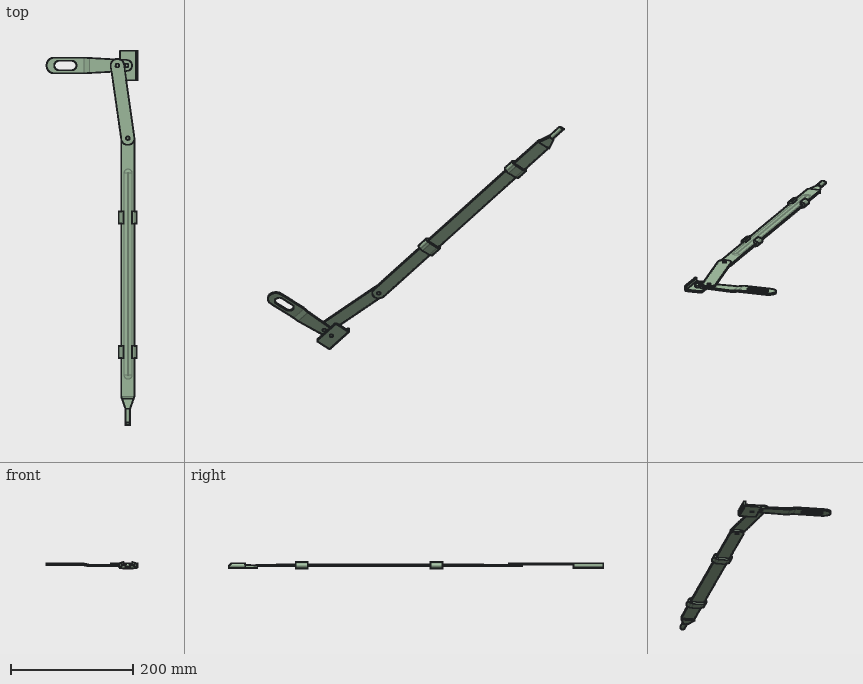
import cadquery as cq
import math


overall_length = 612.33

plate_thickness = 3.0
plate_bottom = -1.9
plate_top = plate_bottom + plate_thickness
link_thickness = 2.5
link_top = plate_top + link_thickness
cut_reach = 11.0

pin_diameter = 5.9
pin_hole_diameter = 6.0

strip_width = 22.0
link_length = 120.0
link_offset_x = -17.0
joint_y = math.sqrt(link_length**2 - link_offset_x**2)

lever_pivot_x = -2.0
lever_left = -133.0
lever_wide_radius = 13.0
lever_pivot_radius = 9.0
lever_bend_start = -72.0
lever_bend_end = -63.0
lever_step = 2.0
lever_slot_center_x = -102.0
lever_slot_length = 36.0
lever_slot_width = 15.0

mount_left = -13.0
mount_right = 16.0
mount_length = 49.0
mount_bottom = -5.0
mount_lip_thickness = 3.0
mount_lip_top = 3.7
mount_corner_radius = 2.5
mount_edge_chamfer = 2.0

rail_end = -422.0
bead_start = -56.6
bead_end = -387.0
bead_width = 13.0
bead_crest_width = 1.6
bead_height = 0.5
neck_length = 20.0
neck_valley_distance = 4.0
neck_valley_depth = 1.1
rod_radius = 4.0
rod_center_z = (plate_bottom + plate_top) / 2
rod_end = joint_y + mount_length / 2 - overall_length
rod_end_bevel = 5.0

clip_centers_y = (-129.5, -349.5)
clip_length = 20.0
clip_width = 30.0
clip_height = 11.0
clip_opening = bead_width
clip_mouth_width = clip_opening + 1.2
clip_shoulder_width = 23.0
clip_shoulder_height = 8.4


def box_between(x_range, y_range, z_range):
    """Box given by its start and end along each axis."""
    size = [end - start for start, end in (x_range, y_range, z_range)]
    return cq.Workplane("XY").box(*size, centered=False).translate((x_range[0], y_range[0], z_range[0]))


def cylinder_at(x, y, diameter, bottom, top):
    """Upright cylinder."""
    return cq.Workplane("XY", origin=(x, y, bottom)).circle(diameter / 2).extrude(top - bottom)


def pin_hole(x, y):
    """Cutter for a pin hole through every layer."""
    return cylinder_at(x, y, pin_hole_diameter, -cut_reach, cut_reach)


def make_mount():
    """Base plate with an upright lip along its +X side."""
    y_range = (joint_y - mount_length / 2, joint_y + mount_length / 2)
    base = box_between((mount_left, mount_right), y_range, (mount_bottom, plate_bottom))
    base = base.edges("|Z and <X").fillet(mount_corner_radius)
    base = base.edges("|Y and >X and <Z").chamfer(mount_edge_chamfer)
    lip_left = mount_right - mount_lip_thickness
    lip = box_between((lip_left, mount_right), y_range, (plate_bottom, mount_lip_top))
    return base.union(lip).cut(pin_hole(lever_pivot_x, joint_y))


def make_lever():
    """Cranked lever: a raised, slotted end and a tapered arm with a round pivot end."""
    distance = lever_pivot_x - lever_bend_start
    edge_angle = math.atan2(lever_wide_radius, distance) - math.asin(
        lever_pivot_radius / math.hypot(lever_wide_radius, distance)
    )
    tangent_x = lever_pivot_x + lever_pivot_radius * math.sin(edge_angle)
    tangent_y = lever_pivot_radius * math.cos(edge_angle)
    outline = (
        cq.Workplane("XY", origin=(0, joint_y, -cut_reach))
        .moveTo(lever_left + lever_wide_radius, lever_wide_radius)
        .lineTo(lever_bend_start, lever_wide_radius)
        .lineTo(tangent_x, tangent_y)
        .threePointArc((lever_pivot_x + lever_pivot_radius, 0), (tangent_x, -tangent_y))
        .lineTo(lever_bend_start, -lever_wide_radius)
        .lineTo(lever_left + lever_wide_radius, -lever_wide_radius)
        .threePointArc((lever_left, 0), (lever_left + lever_wide_radius, lever_wide_radius))
        .close()
        .extrude(2 * cut_reach)
    )
    lever_right = lever_pivot_x + lever_pivot_radius
    cranked_strip = (
        cq.Workplane("XZ", origin=(0, joint_y, 0))
        .moveTo(lever_left, plate_bottom + lever_step)
        .lineTo(lever_bend_start, plate_bottom + lever_step)
        .lineTo(lever_bend_end, plate_bottom)
        .lineTo(lever_right, plate_bottom)
        .lineTo(lever_right, plate_top)
        .lineTo(lever_bend_end, plate_top)
        .lineTo(lever_bend_start, plate_top + lever_step)
        .lineTo(lever_left, plate_top + lever_step)
        .close()
        .extrude(lever_wide_radius, both=True)
    )
    slot = (
        cq.Workplane("XY", origin=(lever_slot_center_x, joint_y, -cut_reach))
        .slot2D(lever_slot_length, lever_slot_width)
        .extrude(2 * cut_reach)
    )
    lever = cranked_strip.intersect(outline).cut(slot)
    return lever.cut(pin_hole(lever_pivot_x, joint_y)).cut(pin_hole(link_offset_x, joint_y))


def make_link():
    """Straight strip with round ends, joining lever and rail."""
    angle = math.degrees(math.atan2(joint_y, link_offset_x))
    strip = (
        cq.Workplane("XY", origin=(link_offset_x / 2, joint_y / 2, plate_top))
        .slot2D(link_length + strip_width, strip_width, angle)
        .extrude(link_thickness)
    )
    return strip.cut(pin_hole(0, 0)).cut(pin_hole(link_offset_x, joint_y))


def make_bead():
    """Low ridge on the rail: sloped flanks, a narrow crest and half-cone ends."""
    half_width = bead_width / 2
    half_crest = bead_crest_width / 2
    ridge = (
        cq.Workplane("XZ", origin=(0, bead_start, plate_top))
        .polyline([(-half_width, 0), (-half_crest, bead_height), (half_crest, bead_height), (half_width, 0)])
        .close()
        .extrude(bead_start - bead_end)
    )
    for end_y in (bead_start, bead_end):
        cone = cq.Solid.makeCone(half_width, half_crest, bead_height, pnt=cq.Vector(0, end_y, plate_top))
        ridge = ridge.union(cq.Workplane(cone))
    return ridge


def make_neck():
    """Tapered block between the flat rail and the rod, with a shallow valley across its top."""
    half_width = strip_width / 2
    bottom = rod_center_z - rod_radius
    neck_end = rail_end - neck_length
    taper = (
        cq.Workplane("XY", origin=(0, 0, bottom))
        .polyline(
            [
                (-half_width, rail_end),
                (half_width, rail_end),
                (rod_radius, neck_end),
                (-rod_radius, neck_end),
            ]
        )
        .close()
        .extrude(plate_top - bottom)
    )
    valley = (
        cq.Workplane("YZ")
        .polyline(
            [
                (rail_end, plate_top),
                (rail_end - neck_valley_distance, plate_top - neck_valley_depth),
                (neck_end, plate_top),
            ]
        )
        .close()
        .extrude(half_width, both=True)
    )
    return taper.cut(valley)


def make_rod():
    """Round rod beyond the neck, beveled on top of its free end."""
    rod_start = rail_end - neck_length
    rod_top = rod_center_z + rod_radius
    rod = (
        cq.Workplane("XZ", origin=(0, rod_start, rod_center_z))
        .circle(rod_radius)
        .extrude(rod_start - rod_end)
    )
    bevel = (
        cq.Workplane("YZ")
        .polyline(
            [
                (rod_end, rod_top),
                (rod_end + rod_end_bevel, rod_top),
                (rod_end, rod_top - rod_end_bevel),
            ]
        )
        .close()
        .extrude(rod_radius, both=True)
    )
    return rod.cut(bevel)


def make_rail():
    """Long flat rail with a bead on top, narrowing to a round rod at its -Y end."""
    half_width = strip_width / 2
    strip = (
        cq.Workplane("XY", origin=(0, 0, plate_bottom))
        .moveTo(-half_width, 0)
        .threePointArc((0, half_width), (half_width, 0))
        .lineTo(half_width, rail_end)
        .lineTo(-half_width, rail_end)
        .close()
        .extrude(plate_thickness)
    )
    return strip.union(make_neck()).union(make_rod()).union(make_bead()).cut(pin_hole(0, 0))


def make_clip(center_y):
    """C-shaped clip that wraps round the rail and leaves the bead open on top."""
    half_width = clip_width / 2
    half_height = clip_height / 2
    half_opening = clip_opening / 2
    half_mouth = clip_mouth_width / 2
    shoulder_x = clip_shoulder_width / 2
    shoulder_z = clip_shoulder_height / 2
    body = (
        cq.Workplane("XZ", origin=(0, center_y, 0))
        .moveTo(-half_mouth, half_height)
        .lineTo(half_mouth, half_height)
        .lineTo(shoulder_x, shoulder_z)
        .threePointArc((half_width, 0), (shoulder_x, -shoulder_z))
        .lineTo(half_mouth, -half_height)
        .lineTo(-half_mouth, -half_height)
        .lineTo(-shoulder_x, -shoulder_z)
        .threePointArc((-half_width, 0), (-shoulder_x, shoulder_z))
        .close()
        .extrude(clip_length / 2, both=True)
    )
    y_range = (center_y - clip_length, center_y + clip_length)
    rail_passage = box_between((-strip_width / 2, strip_width / 2), y_range, (plate_bottom, plate_top))
    opening = (
        cq.Workplane("XZ", origin=(0, center_y, 0))
        .polyline(
            [
                (-half_opening, plate_top),
                (half_opening, plate_top),
                (half_mouth, half_height),
                (-half_mouth, half_height),
            ]
        )
        .close()
        .extrude(clip_length, both=True)
    )
    return body.cut(rail_passage).cut(opening)


mount = make_mount()
lever = make_lever()
link = make_link()
rail = make_rail()
clips = [make_clip(center_y) for center_y in clip_centers_y]

pivot_pin = cylinder_at(lever_pivot_x, joint_y, pin_diameter, mount_bottom, plate_top)
link_pins = [
    cylinder_at(x, y, pin_diameter, plate_bottom, link_top)
    for x, y in ((link_offset_x, joint_y), (0, 0))
]

result = cq.Compound.makeCompound(
    [
        mount.val(),
        lever.val(),
        link.val(),
        rail.val(),
        *[clip.val() for clip in clips],
        pivot_pin.val(),
        *[pin.val() for pin in link_pins],
    ]
)